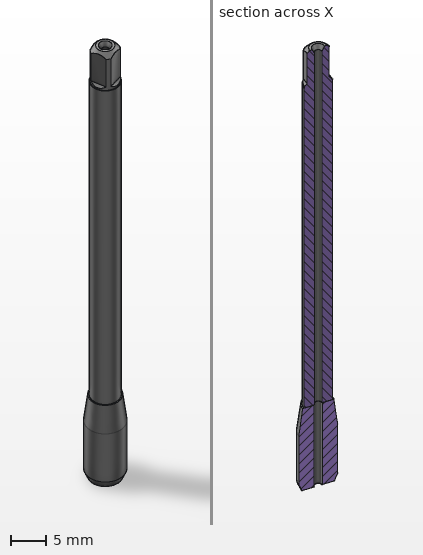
import cadquery as cq

total_length = 80.0

head_radius = 6.2 / 2
head_length = 15.0
head_straight_top = 10.2
head_shoulder_radius = 2.5
nose_height = 1.3
nose_end_radius = 2.6
head_bore_radius = 1.2 / 2

shank_radius = 4.6 / 2
collar_radius = 4.3 / 2
collar_base = 73.4
square_size = 3.5
square_base = 74.1
tip_radius = 1.4
tip_chamfer_height = 0.8
shank_bore_radius = 1.1 / 2
countersink_radius = 1.0
countersink_depth = 0.8


def make_head():
    """Revolved head with a tapered shoulder, a conical nose and a through bore."""
    return (
        cq.Workplane("XZ")
        .moveTo(head_bore_radius, 0)
        .lineTo(nose_end_radius, 0)
        .lineTo(head_radius, nose_height)
        .lineTo(head_radius, head_straight_top)
        .lineTo(head_shoulder_radius, head_length)
        .lineTo(head_bore_radius, head_length)
        .close()
        .revolve(360, (0, 0, 0), (0, 1, 0))
    )


def make_rod():
    """Revolved rod with a reduced collar, a conical tip and a countersunk bore."""
    return (
        cq.Workplane("XZ")
        .moveTo(shank_bore_radius, head_length)
        .lineTo(shank_radius, head_length)
        .lineTo(shank_radius, collar_base)
        .lineTo(collar_radius, collar_base)
        .lineTo(collar_radius, total_length - tip_chamfer_height)
        .lineTo(tip_radius, total_length)
        .lineTo(countersink_radius, total_length)
        .lineTo(shank_bore_radius, total_length - countersink_depth)
        .close()
        .revolve(360, (0, 0, 0), (0, 1, 0))
    )


def make_flat_cutter():
    """Wedge-ended prism that mills the +X flat, with a 45 degree run-out at its lower end."""
    flat_offset = square_size / 2
    clearance = shank_radius
    return (
        cq.Workplane("XZ")
        .moveTo(flat_offset, total_length)
        .lineTo(flat_offset, square_base)
        .lineTo(flat_offset + clearance, square_base - clearance)
        .lineTo(flat_offset + clearance, total_length)
        .close()
        .extrude(shank_radius, both=True)
    )


def make_shank():
    """Rod with four flats milled on its upper end to form the drive square."""
    shank = make_rod()
    flat_cutter = make_flat_cutter()
    for angle in (0, 90, 180, 270):
        shank = shank.cut(flat_cutter.rotate((0, 0, 0), (0, 0, 1), angle))
    return shank


head = make_head()
shank = make_shank()

result = cq.Compound.makeCompound([head.val(), shank.val()])